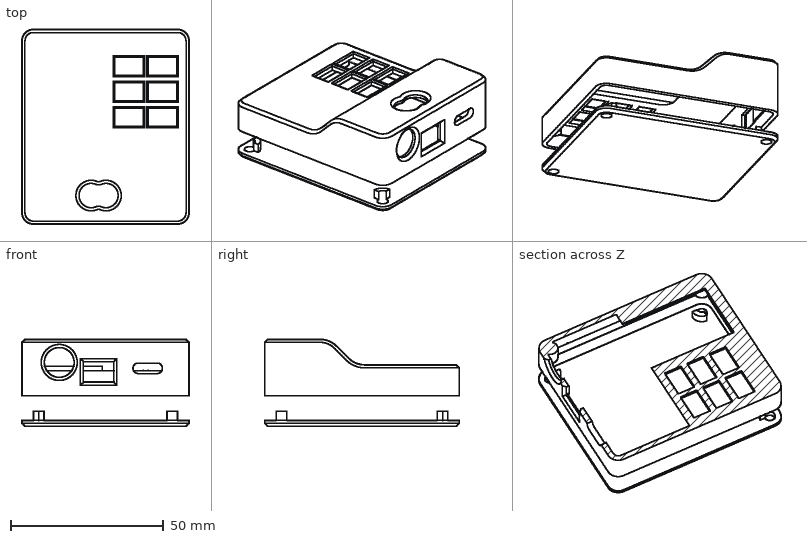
import cadquery as cq
import math

width = 55.0
length = 64.0
corner_radius = 3.8
edge_chamfer = 1.0
screw_hole_diameter = 3.5

left_screw_x = corner_radius
right_screw_x = width - corner_radius
front_screw_y = corner_radius
back_screw_y = length - corner_radius
screw_points = [
    (left_screw_x, front_screw_y),
    (left_screw_x, back_screw_y),
    (right_screw_x, back_screw_y),
]

plate_thickness = 2.0
post_height = 3.0
post_radius = 3.5

housing_base = 10.0
housing_top = 28.6
low_top = 20.2
wall = 2.0
ramp_start = 18.3
ramp_end = 32.9
ramp_angle = math.radians(45)

rim_wall = 1.55
rim_top = 14.6

boss_radius = 2.55
boss_bottom = 13.95

recess_left = corner_radius + boss_radius
recess_right = 26.4
recess_front = 25.6
recess_back = length - 2 * wall
recess_ceiling = 19.8

jack_x = 12.3
jack_z = 21.0
jack_diameter = 9.8
port_x = 25.2
port_z = 17.85
port_width = 10.0
port_height = 6.8
slot_x = 41.35
slot_z = 19.1
slot_width = 9.65
slot_height = 3.45

lens_x = 25.2
lens_y = 9.4
lens_diameter = 8.0
lens_spacing = 4.85
waist_radius = 2.05

key_columns = 2
key_rows = 3
key_width = 9.35
key_length = 5.9
key_chamfer = 0.5
key_pitch_x = 11.0
key_pitch_y = 8.3
first_key_x = 35.2
first_key_y = 35.2


def rounded_block(inset, bottom, top, radius):
    """Upright block over the footprint, pulled in by inset on every side."""
    block = cq.Workplane("XY").box(
        width - 2 * inset, length - 2 * inset, top - bottom, centered=False
    )
    return block.translate((inset, inset, bottom)).edges("|Z").fillet(radius)


def stepped_block(inset):
    """Block under the stepped roof, with its roof and sides pulled in by inset."""
    run = ramp_end - ramp_start
    rise = housing_top - low_top
    sine = math.sin(ramp_angle)
    cosine = math.cos(ramp_angle)
    bend_radius = (run * sine - rise * cosine) / (2 * (1 - cosine))
    crest_radius = bend_radius - inset
    foot_radius = bend_radius + inset
    high = housing_top - inset
    low = low_top - inset

    def crest_point(angle):
        return (
            ramp_start + crest_radius * math.sin(angle),
            high - crest_radius * (1 - math.cos(angle)),
        )

    def foot_point(angle):
        return (
            ramp_end - foot_radius * math.sin(angle),
            low + foot_radius * (1 - math.cos(angle)),
        )

    profile = (
        cq.Workplane("YZ")
        .moveTo(inset, housing_base)
        .lineTo(inset, high)
        .lineTo(*crest_point(0))
        .threePointArc(crest_point(ramp_angle / 2), crest_point(ramp_angle))
        .lineTo(*foot_point(ramp_angle))
        .threePointArc(foot_point(ramp_angle / 2), foot_point(0))
        .lineTo(length - inset, low)
        .lineTo(length - inset, housing_base)
        .close()
    )
    block = profile.extrude(width - 2 * inset).translate((inset, 0, 0))
    return block.edges("|Z").fillet(corner_radius - inset)


def screw_bosses():
    """Solid round bosses hanging from the roof above the three screw holes."""
    return (
        cq.Workplane("XY", origin=(0, 0, boss_bottom))
        .pushPoints(screw_points)
        .circle(boss_radius)
        .extrude(housing_top - boss_bottom)
    )


def roof_recess():
    """Shallow pocket in the underside of the low roof, beside the screw bosses."""
    recess_bottom = low_top - wall
    recess = cq.Workplane("XY").box(
        recess_right - recess_left,
        recess_back - recess_front,
        recess_ceiling - recess_bottom,
        centered=False,
    )
    return recess.translate((recess_left, recess_front, recess_bottom))


def cavity():
    """Open-bottomed hollow of the housing: main chamber, wider rim and roof recess."""
    chamber = stepped_block(wall)
    rim = rounded_block(rim_wall, housing_base, rim_top, corner_radius - rim_wall)
    return chamber.union(rim).cut(screw_bosses()).union(roof_recess())


def front_sketch(x, z, depth):
    """Workplane parallel to the front wall, facing into the housing at the given depth."""
    plane = cq.Plane(origin=(x, depth, z), xDir=(1, 0, 0), normal=(0, -1, 0))
    return cq.Workplane(plane)


def jack_opening():
    radius = jack_diameter / 2
    bore = front_sketch(jack_x, jack_z, wall).circle(radius).extrude(wall)
    flare = (
        front_sketch(jack_x, jack_z, 0)
        .circle(radius + edge_chamfer)
        .workplane(offset=-edge_chamfer)
        .circle(radius)
        .loft()
    )
    return bore.union(flare)


def port_opening():
    bore = front_sketch(port_x, port_z, wall).rect(port_width, port_height).extrude(wall)
    flare = (
        front_sketch(port_x, port_z, 0)
        .rect(port_width + 2 * edge_chamfer, port_height + 2 * edge_chamfer)
        .workplane(offset=-edge_chamfer)
        .rect(port_width, port_height)
        .loft()
    )
    return bore.union(flare)


def slot_opening():
    return front_sketch(slot_x, slot_z, wall).slot2D(slot_width, slot_height).extrude(wall)


def lens_opening():
    """Two overlapping round holes whose meeting edges are rounded off."""
    radius = lens_diameter / 2
    bottom = housing_top - wall
    left_x = lens_x - lens_spacing / 2
    right_x = lens_x + lens_spacing / 2

    def bore(x):
        return cq.Workplane("XY", origin=(x, lens_y, bottom)).circle(radius).extrude(wall)

    waist = cq.selectors.BoxSelector(
        (left_x, lens_y - radius, bottom), (right_x, lens_y + radius, housing_top)
    )
    return bore(left_x).union(bore(right_x)).edges("|Z").edges(waist).fillet(waist_radius)


def add_lens_opening(housing):
    """Cut the double-round opening and chamfer its upper rim."""
    half_width = (lens_diameter + lens_spacing) / 2
    half_length = lens_diameter / 2
    rim = cq.selectors.BoxSelector(
        (lens_x - half_width, lens_y - half_length, housing_top - edge_chamfer),
        (lens_x + half_width, lens_y + half_length, housing_top + edge_chamfer),
    )
    return housing.cut(lens_opening()).edges(rim).chamfer(edge_chamfer)


def key_opening(x, y):
    """Straight window with a flared rim that also clears the foot of the ramp."""
    rim_width = key_width + 2 * key_chamfer
    rim_length = key_length + 2 * key_chamfer
    window = (
        cq.Workplane("XY", origin=(x, y, low_top - wall))
        .rect(key_width, key_length)
        .extrude(wall)
    )
    flare = (
        cq.Workplane("XY", origin=(x, y, low_top - key_chamfer))
        .rect(key_width, key_length)
        .workplane(offset=key_chamfer)
        .rect(rim_width, rim_length)
        .loft()
    )
    clearance = cq.Workplane("XY", origin=(x, y, low_top)).rect(rim_width, rim_length).extrude(wall)
    return window.union(flare).union(clearance)


def make_housing():
    housing = stepped_block(0)
    housing = housing.faces(">Z").edges("<Y").chamfer(edge_chamfer)
    housing = housing.cut(cavity())
    housing = add_lens_opening(housing)
    housing = housing.cut(jack_opening()).cut(port_opening()).cut(slot_opening())
    for column in range(key_columns):
        for row in range(key_rows):
            x = first_key_x + column * key_pitch_x
            y = first_key_y + row * key_pitch_y
            housing = housing.cut(key_opening(x, y))
    return housing


def corner_post(x, y):
    """Quarter-round post standing on the side of a screw position that faces the plate centre."""
    inward_x = math.copysign(post_radius, width / 2 - x)
    inward_y = math.copysign(post_radius, length / 2 - y)
    disc = cq.Workplane("XY").circle(post_radius).extrude(post_height)
    quadrant = (
        cq.Workplane("XY")
        .center(inward_x / 2, inward_y / 2)
        .rect(post_radius, post_radius)
        .extrude(post_height)
    )
    return disc.intersect(quadrant).translate((x, y, plate_thickness))


def make_plate():
    plate = rounded_block(0, 0, plate_thickness, corner_radius)
    plate = plate.faces("<Z").edges().chamfer(edge_chamfer)
    for x, y in screw_points:
        plate = plate.union(corner_post(x, y))
    holes = (
        cq.Workplane("XY")
        .pushPoints(screw_points)
        .circle(screw_hole_diameter / 2)
        .extrude(plate_thickness + post_height)
    )
    return plate.cut(holes)


housing = make_housing()
plate = make_plate()
result = cq.Compound.makeCompound([housing.val(), plate.val()])